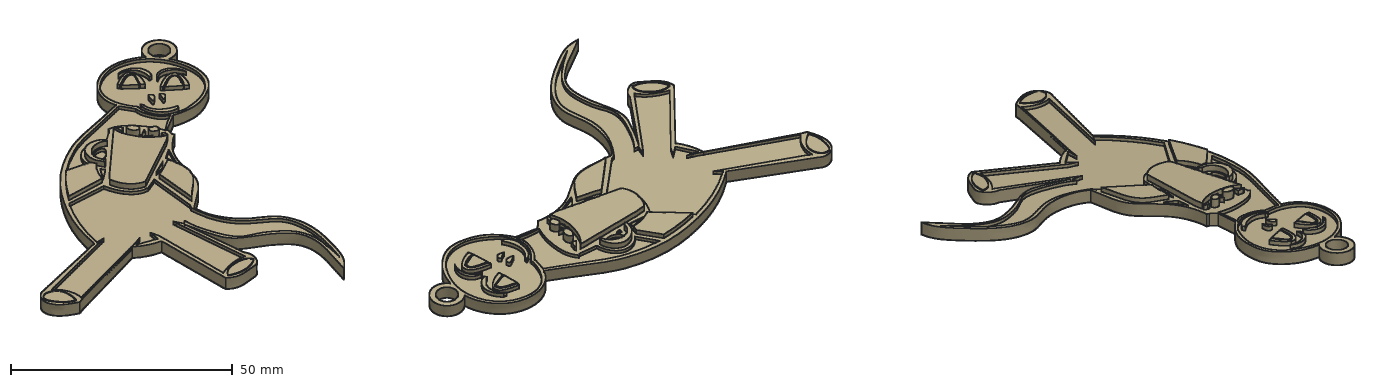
import cadquery as cq


floor_z = 2.3
rim_z = 3.2
line_z = 3.4
arm_z = 4.3
mug_z = 4.6
foam_z = 5.3

eyelet_center = (9.8, 101.2)
eyelet_hole_diameter = 5.0
eyelet_diameter = 8.0


def outline(start, *runs):
    """Closed wire: a run of one point is a straight line, a longer run is one smooth curve."""
    wire = cq.Workplane("XY").moveTo(*start)
    for run in runs:
        if len(run) == 1:
            wire = wire.lineTo(*run[0])
        else:
            wire = wire.spline(run, includeCurrent=True)
    return wire.close()


def polygon(*points):
    """Closed wire with straight sides only."""
    return cq.Workplane("XY").polyline(points).close()


def oval(points):
    """Closed smooth loop through the points."""
    return cq.Workplane("XY").spline(points, periodic=True).close()


def prism(wire, bottom, top):
    """Upright solid between two levels."""
    return wire.extrude(top - bottom).translate((0, 0, bottom))


head = outline(
    (6.7, 78.0),
    [(3.5, 79.4), (1, 82.3), (0, 86.7), (0.7, 91.0), (3.2, 94.7), (7.4, 97.7), (13.1, 98.6), (17.9, 97.9),
     (21, 96.2), (23.9, 93.1), (24.8, 88.3), (24.1, 83.6), (22.7, 81), (20.2, 78.0)],
)

body = outline(
    (8.4, 79.9),
    [(6.7, 78.0)],
    [(5.6, 73.6), (3.4, 66.3), (2.1, 60.5), (1.9, 55.2), (2.6, 48.9), (5.5, 40.8), (10.3, 32.8), (17.9, 25.2)],
    [(12.3, 4.4)],
    [(12.2, 2.5), (13.9, 0.4), (15.6, 0), (18.1, 0.5), (21.5, 2.6)],
    [(21.7, 4.2)],
    [(26.4, 26.5)],
    [(30.0, 28.6), (32.1, 30.6)],
    [(50.1, 21.2)],
    [(52.8, 23.1), (54.5, 26.6), (55.1, 28.9), (53.9, 30.9), (51.1, 32.0)],
    [(35.2, 38.3)],
    [(38.5, 37.3), (42.1, 36.6), (45.2, 36.2), (48.4, 36.9), (52.6, 39.3), (56.8, 41.4), (61, 42.4), (64.7, 41.3),
     (68.9, 38.2), (74.5, 32.6)],
    [(73.1, 36.5), (69.4, 40.7), (64.1, 45.1), (59.4, 47.3), (53.8, 47.4), (48.4, 44.9), (43.1, 43.6), (38.9, 43.9),
     (35.2, 45.2)],
    [(34.5, 50.3), (32.6, 55.7), (28.7, 59.4), (25.2, 63.1), (23.8, 65.9), (22.7, 71.0)],
    [(22.1, 71.1)],
    [(20.5, 72.4)],
    [(20.2, 78.0)],
    [(18.9, 79.9)],
)

eyelet = cq.Workplane("XY").center(*eyelet_center).circle(eyelet_diameter / 2)
eyelet_hole = cq.Workplane("XY").center(*eyelet_center).circle(eyelet_hole_diameter / 2)

face_area = outline(
    (11.6, 78.9),
    [(7.7, 78.8), (4.2, 79.9), (1.9, 82.1), (0.7, 86.7), (1.8, 91.5), (4.7, 95.2), (7.7, 97.0), (13.1, 97.9),
     (16.8, 97.3), (20, 95.9), (22.8, 93.1), (24.1, 88.9), (23.2, 83.8), (22.0, 81)],
    [(19.8, 78.7), (17.5, 77.4), (14.3, 77.4), (11.6, 78.9)],
)

chest_area = outline(
    (7.5, 77.8),
    [(11.4, 77.9)],
    [(13.4, 77.0), (15.6, 76.7), (17.9, 76.9), (19.6, 78.0)],
    [(19.8, 74.7), (20.2, 71.9)],
    [(16.6, 72.1), (13.1, 71.6), (10.2, 70.6), (7.8, 68.5)],
    [(8.2, 68.0)],
    [(8.8, 63.3)],
    [(6.0, 61.4), (4.7, 58.9), (5.2, 56.5), (7.6, 54.3)],
    [(3.6, 50.1)],
    [(2.9, 55.7), (3.3, 61.5), (4.5, 66.8), (6.1, 72.6), (7.5, 77.8)],
)

belly_area = outline(
    (7.9, 38.4),
    [(13.4, 47.2)],
    [(17.7, 46.6), (21, 47.4), (23.1, 49.5)],
    [(23.5, 53.0)],
    [(34.1, 45.8)],
    [(34.7, 44.9)],
    [(36.8, 44.1), (42.6, 42.9), (47.3, 43.5), (51.5, 45.4), (56.3, 46.9), (59.9, 46.2), (64.1, 44.0), (68.4, 40.5),
     (72.1, 36.7)],
    [(67.3, 40.6), (64.1, 42.4), (59.9, 43.1), (56.3, 42.2), (52.1, 40), (48.9, 37.8), (45.7, 37.1), (41.5, 37.5),
     (37.9, 38.4), (34.7, 39.8)],
    [(34.9, 38.6)],
    [(32.3, 38.7)],
    [(34.2, 37.9)],
    [(51.8, 30.5)],
    [(50.4, 28.4), (49.4, 25.7), (49.0, 22.9)],
    [(31.0, 32.4)],
    [(28.7, 33.0)],
    [(31.0, 31.2)],
    [(27.0, 27.5)],
    [(27.0, 30.5)],
    [(26.6, 27.9)],
    [(21.2, 4.4)],
    [(18.1, 5.8), (15.4, 5.8), (14.0, 5.4)],
    [(19.3, 27.9)],
    [(18.3, 25.9)],
    [(14.2, 29.7), (10.3, 34.5), (7.9, 38.4)],
)

shoulder_area = polygon((23.1, 65.0), (26.5, 60.4), (25.5, 60.6), (23.5, 61.8))
handle_opening = oval([(7.9, 59.9), (9.3, 60.9), (10.1, 59.7), (10.3, 58.2), (9.5, 56.6), (8.3, 56.5), (7.8, 57.6)])

left_lid = outline(
    (4.7, 85.4),
    [(4.7, 88.3), (5.5, 90.4), (7.0, 91.0)],
    [(9.8, 88.8), (10.7, 87.3)],
    [(9.7, 87.0)],
    [(8.6, 88.4), (7.4, 90.2)],
    [(6.2, 90.1), (5.5, 88.5), (5.4, 85.4)],
)
left_pupil = outline((5.7, 85.4), [(5.9, 88.6), (6.5, 89.8), (7.4, 89.9)], [(9.5, 86.8)])

right_lid = outline(
    (14.2, 87.5),
    [(14.2, 91.0), (15.0, 93.1), (16.8, 93.6)],
    [(18.9, 91.9), (20.3, 90.0)],
    [(19.2, 89.5)],
    [(18.3, 91.3), (16.8, 92.8)],
    [(15.6, 92.4), (14.9, 90.9), (14.8, 87.5)],
)
right_pupil = outline((15.1, 87.7), [(15.2, 90.9), (15.8, 92.2), (16.8, 92.4)], [(19.1, 89.4)])

left_brow = outline(
    (3.8, 89.1),
    [(3.8, 89.9)],
    [(5.3, 91.8), (7.4, 92.9), (9.4, 92.5), (11.1, 91.0)],
    [(10.7, 90.3)],
    [(8.9, 91.6), (7.4, 91.9), (5.5, 91.2), (3.8, 89.1)],
)
right_brow = outline(
    (12.7, 90.5),
    [(12.3, 91.0)],
    [(12.5, 93.4), (13.9, 94.7), (15.7, 95.3), (18.1, 94.7)],
    [(15.4, 94.6), (13.6, 93.6), (12.7, 90.5)],
)

left_nostril = oval([(12.9, 83.8), (13.7, 83.9), (14.3, 82.9), (14.3, 81.7), (13.6, 82.3)])
right_nostril = oval([(15.1, 84.9), (16.1, 84.9), (16.5, 83.9), (16.4, 83.0), (15.8, 83.7)])

mouth = outline(
    (11.9, 79.6),
    [(12.7, 79.6)],
    [(13.9, 79.0), (15.8, 78.9), (17.7, 79.5), (20.2, 81.5)],
    [(20.6, 80.9)],
    [(17.4, 78.1), (15.6, 77.9), (13.9, 78.1), (11.9, 79.6)],
)

lower_sole = outline(
    (13.0, 3.0),
    [(14.3, 4.5), (16.3, 5.2), (18.2, 4.6), (20.5, 2.8)],
    [(18.4, 1.5), (15.8, 0.9), (13.7, 1.2), (13.0, 3.0)],
)
upper_sole = outline(
    (50.4, 22.2),
    [(49.7, 24.2), (50.7, 27.5), (52.2, 29.3), (54.0, 29.9)],
    [(54.0, 27.7), (52.8, 24.5), (50.4, 22.2)],
)

left_arm = outline(
    (3.9, 48.8),
    [(8.2, 53.5)],
    [(9.7, 53.5)],
    [(10.6, 51.0), (12.6, 48.4)],
    [(7.5, 39.5)],
    [(5.5, 44.0), (3.9, 48.8)],
)
right_arm = outline(
    (24.6, 59.9),
    [(27.3, 58.9), (29.8, 57.7), (31.3, 56.2), (32.8, 52.4), (34.0, 47.4)],
    [(24.4, 53.7)],
    [(24.6, 55.0)],
)

finger_slivers = [
    polygon((23.3, 59.9), (24.0, 57.3), (23.5, 54.7), (23.1, 55.7)),
    polygon((10.7, 53.0), (11.9, 53.2), (12.5, 49.4)),
    polygon((10.2, 56.2), (11.0, 56.3), (10.6, 57.2)),
]

mug = outline(
    (9.5, 67.2),
    [(11.6, 66.1), (14.7, 65.8), (17.0, 66.0), (19.1, 66.7), (21.9, 68.4)],
    [(22.2, 66.3)],
    [(22.4, 49.7)],
    [(20.4, 48.2), (17.7, 47.5), (14.5, 48.1)],
    [(13.7, 50.5)],
)

handle = outline(
    (8.9, 62.5),
    [(6.3, 60.6), (5.6, 58.0), (6.9, 55.5), (9.5, 54.3)],
    [(11.4, 54.3)],
    [(11.5, 54.8)],
    [(10.7, 55.2)],
    [(8.4, 55.7), (7.3, 57.6), (7.7, 60.5), (9.6, 62.1)],
)

drink_pieces = [
    polygon((9.5, 68.2), (9.9, 68.5), (11.4, 68.5), (11.4, 67.2)),
    polygon((16.1, 69.2), (16.7, 68.4), (16.1, 67.8)),
    polygon((15.8, 66.6), (16.1, 67.2), (16.6, 66.6)),
    polygon((16.9, 67.0), (18.6, 67.6), (17.6, 66.9)),
    polygon((20.3, 68.5), (20.3, 69.2), (21, 69.4), (21.8, 68.9), (21.8, 68.4), (20.9, 68.6)),
]

foam_bubbles = [
    oval([(12.3, 67.8), (12.8, 68.6), (14.0, 68.9), (15.0, 68.6), (15.4, 67.8), (14.7, 67.2), (12.9, 67.2)]),
    oval([(17.2, 68.8), (17.7, 69.4), (19.0, 69.8), (19.7, 68.9), (18.9, 68.1), (17.9, 67.9)]),
]

plate = prism(head, 0, rim_z).union(prism(body, 0, rim_z)).union(prism(eyelet, 0, rim_z))
plate = plate.cut(prism(eyelet_hole, 0, rim_z))

for area in [face_area, chest_area, belly_area, shoulder_area, handle_opening]:
    plate = plate.cut(prism(area, floor_z, rim_z))

line_details = [left_lid, left_pupil, right_lid, right_pupil, left_brow, right_brow,
                left_nostril, right_nostril, mouth, lower_sole, upper_sole] + finger_slivers

raised_groups = [
    (line_details, line_z),
    ([left_arm, right_arm] + drink_pieces, arm_z),
    ([mug, handle], mug_z),
    (foam_bubbles, foam_z),
]

for wires, top_z in raised_groups:
    for wire in wires:
        plate = plate.union(prism(wire, floor_z, top_z))

result = plate